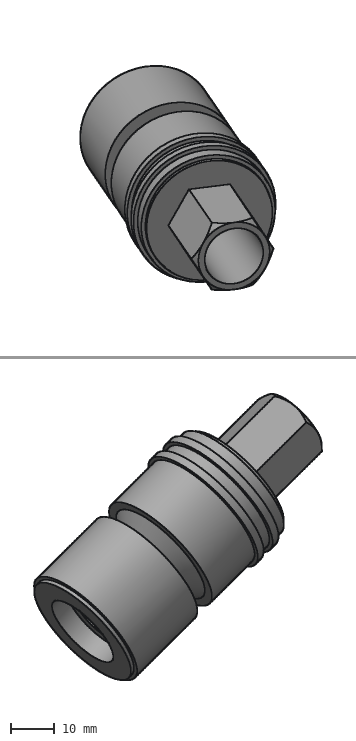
import cadquery as cq
import math

total_length = 72.0
body_length = 52.0
lip_length = 1.0
groove_start = 21.5
groove_width = 5.0
ring_width = 2.0
ring_starts = (41.0, 46.0)
counterbore_depth = 5.0

body_diameter = 32.0
ring_diameter = 34.0
lip_diameter = 30.0
counterbore_diameter = 19.0
bore_diameter = 14.0
groove_floor_diameter = 17.6

hex_across_flats = 17.0


def cylinder(start, length, diameter):
    """Solid cylinder on the X axis, beginning at x = start."""
    return cq.Workplane("YZ", origin=(start, 0, 0)).circle(diameter / 2).extrude(length)


def cone_frustum(start, length, start_radius):
    """Solid 45 degree frustum on the X axis, its radius growing with x."""
    end_radius = start_radius + length
    profile = [(start, 0), (start, start_radius), (start + length, end_radius), (start + length, 0)]
    return cq.Workplane("XY").polyline(profile).close().revolve(360, (0, 0, 0), (1, 0, 0))


def make_body():
    """Turned body with stepped ends, a conical-floored groove and two raised rings."""
    body = cylinder(0, body_length, lip_diameter)
    body = body.union(cylinder(lip_length, body_length - 2 * lip_length, body_diameter))
    groove = cylinder(groove_start, groove_width, body_diameter)
    groove_floor = cone_frustum(groove_start, groove_width, groove_floor_diameter / 2)
    body = body.cut(groove.cut(groove_floor))
    for start in ring_starts:
        body = body.union(cylinder(start, ring_width, ring_diameter))
    return body


def make_hex_shank():
    """Hexagonal shank with flats facing up and down and a 45 degree chamfer on its end corners."""
    hex_across_corners = hex_across_flats / math.cos(math.pi / 6)
    shank_length = total_length - body_length
    shank = (
        cq.Workplane("YZ", origin=(body_length, 0, 0))
        .polygon(6, hex_across_corners)
        .extrude(shank_length)
    )
    chamfer = (hex_across_corners - hex_across_flats) / 2
    envelope = cylinder(body_length, shank_length, hex_across_corners).faces(">X").chamfer(chamfer)
    return shank.intersect(envelope)


def make_bore():
    """Through bore with a counterbore at the body end."""
    bore = cylinder(0, total_length, bore_diameter)
    return bore.union(cylinder(0, counterbore_depth, counterbore_diameter))


result = make_body().union(make_hex_shank()).cut(make_bore())